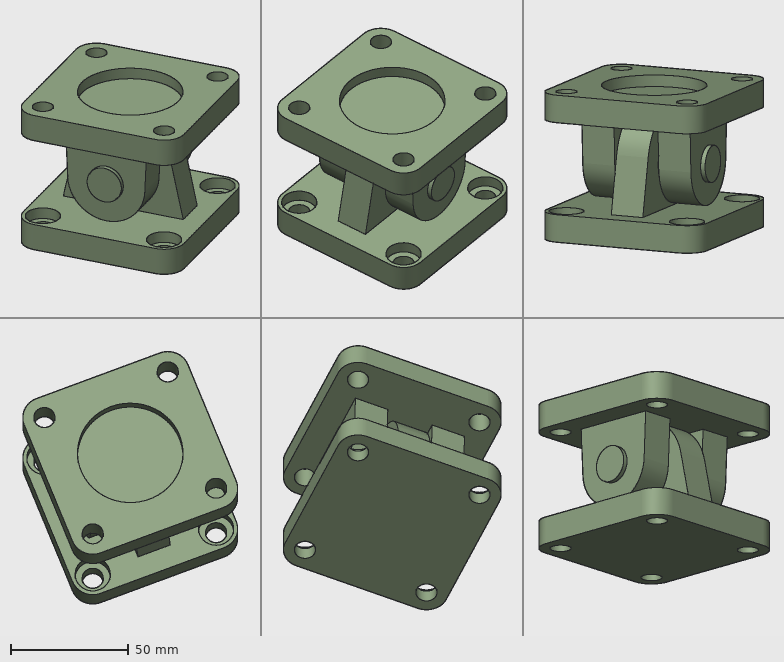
import cadquery as cq
import math

plate_side = 75.0
plate_thickness = 12.0
corner_radius = 9.2
hole_pitch = plate_side - 2 * corner_radius
bolt_diameter = 9.0
counterbore_diameter = 15.0
counterbore_depth = 5.0
spigot_recess_diameter = 45.0
spigot_recess_depth = 5.0

pivot_height = 31.99
total_height = 2 * pivot_height
fork_plate_bottom = total_height - plate_thickness

lug_radius = 18.0
lug_root_half_width = 18.9
lug_thickness = 15.1
lug_gap = 20.6

eye_radius = 23.0
eye_root_half_width = 28.0
eye_thickness = 14.8

pin_diameter = 16.0
pin_length = 55.0
ball_radius = 14.25


def flange_plate(bottom):
    """Square plate with rounded corners, standing on the given height."""
    return (
        cq.Workplane("XY", origin=(0, 0, bottom))
        .rect(plate_side, plate_side)
        .extrude(plate_thickness)
        .edges("|Z")
        .fillet(corner_radius)
    )


def bolt_face(plate, height):
    """Workplane on a plate with the four bolt positions selected."""
    return plate.copyWorkplane(cq.Workplane("XY", origin=(0, 0, height))).rect(
        hole_pitch, hole_pitch, forConstruction=True
    ).vertices()


def cylinder_along_y(diameter, length):
    """Cylinder on the pivot axis, centred on the middle plane."""
    return (
        cq.Workplane("XZ", origin=(0, 0, pivot_height))
        .circle(diameter / 2)
        .extrude(length / 2, both=True)
    )


def rounded_tongue(radius, root_half_width, root_offset, thickness, center_y):
    """Tongue around the pivot, its straight sides tangent to the round end.

    root_offset is the signed height of the root above the pivot.
    """
    side = math.copysign(1, root_offset)
    root_distance = math.hypot(root_half_width, root_offset)
    root_angle = math.atan2(abs(root_offset), root_half_width)
    tangent_angle = root_angle - math.acos(radius / root_distance)
    tangent_x = radius * math.cos(tangent_angle)
    tangent_z = side * radius * math.sin(tangent_angle)
    return (
        cq.Workplane("XZ", origin=(0, center_y, pivot_height))
        .moveTo(-root_half_width, root_offset)
        .lineTo(-tangent_x, tangent_z)
        .threePointArc((0, -side * radius), (tangent_x, tangent_z))
        .lineTo(root_half_width, root_offset)
        .close()
        .extrude(thickness / 2, both=True)
    )


def pivot_ball():
    """Ball on the pivot axis, cut flat where it meets the two lugs."""
    sphere = cq.Workplane("XY", origin=(0, 0, pivot_height)).sphere(ball_radius)
    return sphere.intersect(cylinder_along_y(2 * ball_radius, lug_gap))


def make_pin():
    """Pivot pin carrying the ball in its middle."""
    return cylinder_along_y(pin_diameter, pin_length).union(pivot_ball())


def make_base(pin):
    """Lower plate with counterbored bolt holes and the eye around the ball."""
    plate = flange_plate(0)
    plate = bolt_face(plate, plate_thickness).cboreHole(
        bolt_diameter, counterbore_diameter, counterbore_depth
    )
    eye = rounded_tongue(
        eye_radius, eye_root_half_width, plate_thickness - pivot_height, eye_thickness, 0
    )
    return plate.union(eye).cut(pin)


def make_fork(pin):
    """Upper plate with two lugs, a round top recess and a seat for the eye's crown."""
    plate = flange_plate(fork_plate_bottom)
    plate = bolt_face(plate, total_height).hole(bolt_diameter)
    spigot_recess = (
        cq.Workplane("XY", origin=(0, 0, total_height))
        .circle(spigot_recess_diameter / 2)
        .extrude(-spigot_recess_depth)
    )
    crown_seat = cylinder_along_y(2 * eye_radius, eye_thickness)
    fork = plate.cut(spigot_recess).cut(crown_seat)
    lug_offset = (lug_gap + lug_thickness) / 2
    for center_y in (-lug_offset, lug_offset):
        lug = rounded_tongue(
            lug_radius, lug_root_half_width, fork_plate_bottom - pivot_height, lug_thickness, center_y
        )
        fork = fork.union(lug)
    return fork.cut(pin)


pin = make_pin()
base = make_base(pin)
fork = make_fork(pin)

result = cq.Compound.makeCompound([body.solids().val() for body in (base, fork, pin)])